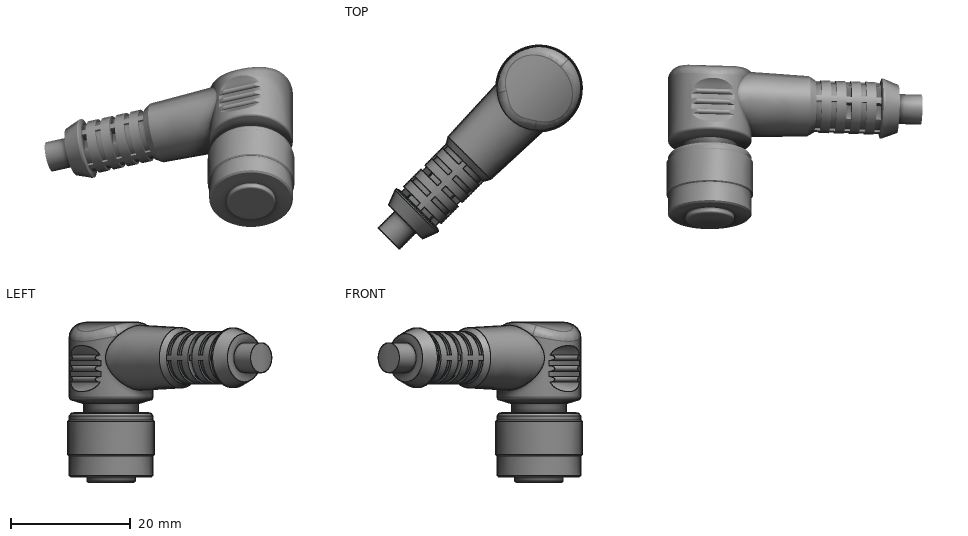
import cadquery as cq
import math

ARM_TURN = 45.0

TOTAL_HEIGHT = 26.8
INSERT_RADIUS = 4.05
INSERT_EDGE = 0.35
NUT_BOTTOM = 0.9
NUT_TOP = 11.7
NUT_SHOULDER = 11.53
NUT_SHOULDER_START = 11.1
NUT_SHOULDER_RADIUS = 6.7
NUT_RADIUS = 14.0 / 2
NUT_EDGE = 0.27
NUT_FACE_RADIUS = 5.9
GRIP_RADIUS = 14.5 / 2
GRIP_BOTTOM = 4.45
GRIP_TOP = 10.37
GRIP_EDGE = 0.2
NECK_RADIUS = 9.2 / 2
HEAD_RADIUS = NUT_RADIUS
HEAD_BOTTOM = 13.2
HEAD_UNDERSIDE_RADIUS = 4.78
HEAD_CONE_TOP = 13.8
HEAD_WALL_BOTTOM = 14.25
HEAD_CONE_RADIUS = 6.72
CROWN_RADIUS = 12.3
CROWN_FILLET = 1.88

ARM_HEIGHT = 20.8
CABLE_RADIUS = 5.0 / 2
CABLE_END = 35.5
COLLAR_END = 31.53
COLLAR_END_RADIUS = 4.03
COLLAR_RIM_FRONT = 29.0
COLLAR_RIM_BACK = 28.7
COLLAR_BACK = 28.5
COLLAR_RADIUS = 10.0 / 2
SLEEVE_RADIUS = 8.8 / 2
SLEEVE_START = 17.55
BODY_END = 16.45
BODY_END_RADIUS = 5.05
BODY_START = 4.1
BODY_START_RADIUS = 5.55

SLOT_COUNT = 5
SLOT_WIDTH = 0.92
FIRST_SLOT = SLEEVE_START + SLOT_WIDTH / 2
LAST_SLOT = COLLAR_BACK - SLOT_WIDTH / 2
SLOT_PITCH = (LAST_SLOT - FIRST_SLOT) / (SLOT_COUNT - 1)
SLOT_FLOOR_RADIUS = 4.03
WEB_WIDTH = 1.0
WINDOW_SLOTS = (2, 4)
WINDOW_HALF_HEIGHT = 2.97

PANEL_FLOOR = 5.97
PANEL_MIDDLE = 19.0
PANEL_FLAT_HEIGHT = 2.73
PANEL_HEIGHT = 7.7
RIB_RADIUS = 0.48
RIB_PITCH = 1.8


def make_plug():
    """Insert, stepped coupling nut and neck."""
    insert = cq.Workplane("XY").circle(INSERT_RADIUS).extrude(NUT_BOTTOM)
    insert = insert.faces("<Z").edges().fillet(INSERT_EDGE)
    nut_profile = [
        (0, NUT_BOTTOM),
        (NUT_RADIUS - NUT_EDGE, NUT_BOTTOM),
        (NUT_RADIUS, NUT_BOTTOM + NUT_EDGE),
        (NUT_RADIUS, NUT_SHOULDER_START),
        (NUT_SHOULDER_RADIUS, NUT_SHOULDER),
        (NUT_FACE_RADIUS, NUT_TOP),
        (0, NUT_TOP),
    ]
    nut = cq.Workplane("XZ").polyline(nut_profile).close().revolve(360, (0, 0, 0), (0, 1, 0))
    grip = cq.Workplane("XY", origin=(0, 0, GRIP_BOTTOM)).circle(GRIP_RADIUS).extrude(GRIP_TOP - GRIP_BOTTOM)
    grip = grip.edges().chamfer(GRIP_EDGE)
    neck = cq.Workplane("XY", origin=(0, 0, NUT_TOP)).circle(NECK_RADIUS).extrude(HEAD_WALL_BOTTOM - NUT_TOP)
    return insert.union(nut).union(grip).union(neck)


def make_head():
    """Round head with a tapered underside and a crown curved about the arm direction."""
    head = (
        cq.Workplane("XZ")
        .moveTo(0, TOTAL_HEIGHT)
        .lineTo(HEAD_RADIUS, TOTAL_HEIGHT)
        .lineTo(HEAD_RADIUS, HEAD_WALL_BOTTOM)
        .tangentArcPoint((HEAD_CONE_RADIUS, HEAD_CONE_TOP), relative=False)
        .lineTo(HEAD_UNDERSIDE_RADIUS, HEAD_BOTTOM)
        .lineTo(0, HEAD_BOTTOM)
        .close()
        .revolve(360, (0, 0, 0), (0, 1, 0))
    )
    crown = (
        cq.Workplane("YZ", origin=(-HEAD_RADIUS, 0, 0))
        .center(0, TOTAL_HEIGHT - CROWN_RADIUS)
        .circle(CROWN_RADIUS)
        .extrude(2 * HEAD_RADIUS)
    )
    return head.intersect(crown)


def make_grip_cutter(side):
    """Recess with a flat floor, arc ends and half-round ribs; side is +1 or -1 along Y."""
    flat = PANEL_FLAT_HEIGHT / 2
    end = PANEL_HEIGHT / 2
    depth = HEAD_RADIUS - PANEL_FLOOR
    rise = end - flat
    arc_radius = (rise ** 2 + depth ** 2) / (2 * depth)
    half_angle = math.asin(rise / arc_radius) / 2
    mid_rise = arc_radius * math.sin(half_angle)
    mid_depth = arc_radius * (1 - math.cos(half_angle))

    def at(offset, height):
        return (side * offset, PANEL_MIDDLE + height)

    cutter = (
        cq.Workplane("YZ", origin=(-HEAD_RADIUS, 0, 0))
        .moveTo(*at(PANEL_FLOOR, -flat))
        .lineTo(*at(PANEL_FLOOR, flat))
        .threePointArc(at(PANEL_FLOOR + mid_depth, flat + mid_rise), at(HEAD_RADIUS, end))
        .lineTo(*at(HEAD_RADIUS, -end))
        .threePointArc(at(PANEL_FLOOR + mid_depth, -flat - mid_rise), at(PANEL_FLOOR, -flat))
        .close()
        .extrude(2 * HEAD_RADIUS)
    )
    for row in (-1, 0, 1):
        rib = (
            cq.Workplane("YZ", origin=(-HEAD_RADIUS, 0, 0))
            .center(*at(PANEL_FLOOR, row * RIB_PITCH))
            .circle(RIB_RADIUS)
            .extrude(2 * HEAD_RADIUS)
        )
        cutter = cutter.cut(rib)
    return cutter


def make_arm():
    """Tapered body, sleeve, collar and cable as one turned shape along -X."""
    profile = [
        (BODY_START, 0),
        (BODY_START, BODY_START_RADIUS),
        (BODY_END, BODY_END_RADIUS),
        (SLEEVE_START, SLEEVE_RADIUS),
        (COLLAR_BACK, SLEEVE_RADIUS),
        (COLLAR_RIM_BACK, COLLAR_RADIUS),
        (COLLAR_RIM_FRONT, COLLAR_RADIUS),
        (COLLAR_END, COLLAR_END_RADIUS),
        (COLLAR_END, CABLE_RADIUS),
        (CABLE_END, CABLE_RADIUS),
        (CABLE_END, 0),
    ]
    points = [(-station, radius) for station, radius in profile]
    arm = cq.Workplane("XY").polyline(points).close().revolve(360, (0, 0, 0), (1, 0, 0))
    return arm.translate((0, 0, ARM_HEIGHT))


def make_slot_cutter(index):
    """Ring slot interrupted by webs; window slots open deep pockets on both sides."""
    middle = FIRST_SLOT + index * SLOT_PITCH
    span = 2 * SLEEVE_RADIUS
    center = (-middle, 0, ARM_HEIGHT)
    ring = (
        cq.Workplane("YZ", origin=(-middle - SLOT_WIDTH / 2, 0, ARM_HEIGHT))
        .circle(SLEEVE_RADIUS)
        .circle(SLOT_FLOOR_RADIUS)
        .extrude(SLOT_WIDTH)
    )
    upright_web = cq.Workplane("XY").box(SLOT_WIDTH, WEB_WIDTH, span).translate(center)
    side_web = cq.Workplane("XY").box(SLOT_WIDTH, span, WEB_WIDTH).translate(center)
    cutter = ring.cut(upright_web)
    if index not in WINDOW_SLOTS:
        return cutter.cut(side_web)

    window = cq.Workplane("XY").box(SLOT_WIDTH, span, 2 * WINDOW_HALF_HEIGHT)
    core = cq.Workplane("XY").box(SLOT_WIDTH, 2 * CABLE_RADIUS, span)
    window = window.cut(core).translate(center).cut(side_web)
    return cutter.union(window)


shell = make_head().union(make_arm())
shell = shell.faces(">Z").edges().fillet(CROWN_FILLET)

for side in (-1, 1):
    shell = shell.cut(make_grip_cutter(side))

for index in range(SLOT_COUNT):
    shell = shell.cut(make_slot_cutter(index))

result = make_plug().union(shell).rotate((0, 0, 0), (0, 0, 1), ARM_TURN)